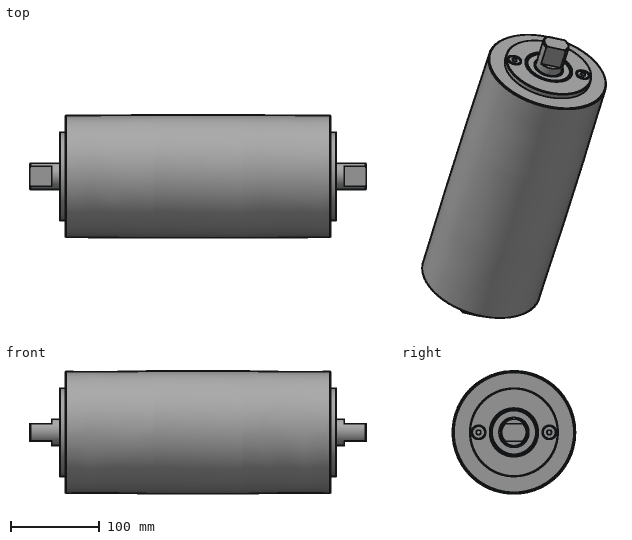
import cadquery as cq

overall_length = 380.0
drum_diameter = 139.0
drum_length = 300.2

middle_length = 100.0
drum_end_diameter = 137.5
cap_width = 5.7
cap_edge_chamfer = 1.0

flange_diameter = 100.0
flange_thickness = 6.0
flange_edge_chamfer = 0.8

shaft_diameter = 30.0
flat_length = 24.7
flat_thickness = 19.8
shaft_end_chamfer = 1.0

seal_bore_diameter = 34.0
ring_outer_diameter = 55.0
ring_floor_diameter = 53.0
ring_inner_diameter = 49.5
recess_depth = 0.8

screw_hole_diameter = 16.0
screw_diameter = 14.0
screw_socket_diameter = 5.5
screw_socket_depth = 3.8
screw_offset = 40.0

flange_face = drum_length / 2 + flange_thickness


def cylinder_x(diameter, start, length, y=0.0):
    """Cylinder along +X starting at x = start, with its axis at the given y."""
    return cq.Workplane("YZ", origin=(start, y, 0)).circle(diameter / 2).extrude(length)


def both_ends(body):
    """The body together with its mirror image at the other end."""
    return body.union(body.mirror("YZ"))


def make_drum():
    cap_start = drum_length / 2 - cap_width
    middle_end = middle_length / 2
    middle = cylinder_x(drum_diameter, -middle_end, middle_length)
    taper = (
        cq.Workplane("XY")
        .moveTo(middle_end, 0)
        .lineTo(middle_end, drum_diameter / 2)
        .lineTo(cap_start, drum_end_diameter / 2)
        .lineTo(cap_start, 0)
        .close()
        .revolve(360, (0, 0, 0), (1, 0, 0))
    )
    cap = cylinder_x(drum_end_diameter, cap_start, cap_width).faces(">X").chamfer(cap_edge_chamfer)
    return middle.union(both_ends(taper.union(cap)))


def make_flange():
    flange = cylinder_x(flange_diameter, drum_length / 2, flange_thickness)
    return flange.faces(">X").chamfer(flange_edge_chamfer)


def make_ring_groove(floor):
    """Ring groove whose outer wall narrows from the flange face to the floor."""
    outer = (
        cq.Workplane("YZ", origin=(floor, 0, 0))
        .circle(ring_floor_diameter / 2)
        .workplane(offset=recess_depth)
        .circle(ring_outer_diameter / 2)
        .loft(ruled=True)
    )
    return outer.cut(cylinder_x(ring_inner_diameter, floor, recess_depth))


def make_face_recesses():
    """Seal bore, ring groove, screw gaps and screw sockets sunk into one flange face."""
    floor = flange_face - recess_depth
    recesses = make_ring_groove(floor).union(cylinder_x(seal_bore_diameter, floor, recess_depth))
    for y in (-screw_offset, screw_offset):
        gap = cylinder_x(screw_hole_diameter, floor, recess_depth, y)
        gap = gap.cut(cylinder_x(screw_diameter, floor, recess_depth, y))
        socket = cylinder_x(screw_socket_diameter, flange_face - screw_socket_depth, screw_socket_depth, y)
        recesses = recesses.union(gap).union(socket)
    return recesses


def make_shaft():
    shaft = cylinder_x(shaft_diameter, -overall_length / 2, overall_length)
    shaft = shaft.faces("<X or >X").chamfer(shaft_end_chamfer)
    flat_center = (overall_length - flat_length) / 2
    envelope = cq.Workplane("XY").box(flat_length, shaft_diameter, shaft_diameter)
    tongue = cq.Workplane("XY").box(flat_length, shaft_diameter, flat_thickness)
    waste = envelope.cut(tongue).translate((flat_center, 0, 0))
    return shaft.cut(waste).cut(waste.mirror("YZ"))


recesses = make_face_recesses()
roller = make_drum().union(both_ends(make_flange()))
roller = roller.cut(recesses).cut(recesses.mirror("YZ"))
result = roller.union(make_shaft())